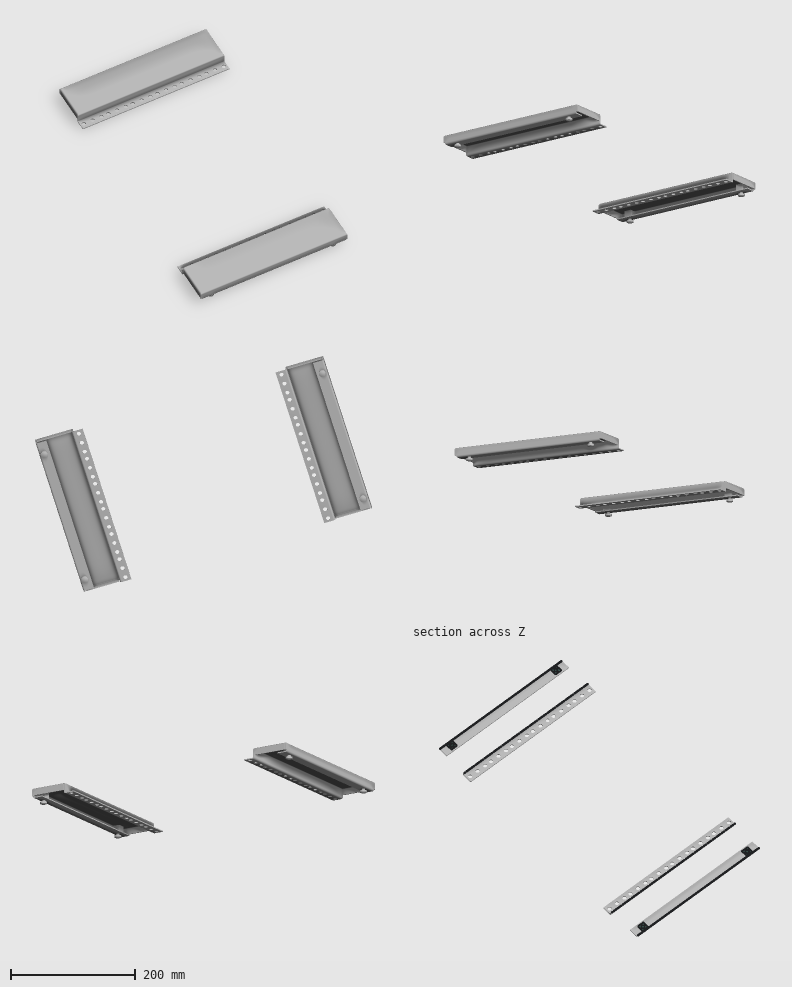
import cadquery as cq
import math

overall_width = 482.5
panel_length = 266.0
outer_x = -overall_width / 2

sheet = 1.75
bend_inner = 1.05
bend_outer = bend_inner + sheet

box_width = 62.5
panel_width = 79.5
wall_depth = 15.5
foot_depth = 18.0
return_width = 18.0
return_end_gap = 3.0
end_wall_depth = 12.0
corner_slit = 1.0

rack_units = 6
unit_pitch = 44.5
hole_pitch = 16.0
hole_diameter = 6.8
hole_inset = 71.5

fastener_inset = 8.0
fastener_from_end = 22.0
nut_length = 12.5
slot_top = 6.0
slot_height = 3.5
slot_depth = 1.0
slot_end_wall = 0.5
shank_diameter = 5.5
head_diameter = 11.0
head_top = 18.5
head_rim = 3.0
head_bottom = 22.5

wall_x = outer_x + box_width
fastener_x = outer_x + fastener_inset
fastener_ys = [side * (panel_length / 2 - fastener_from_end) for side in (-1, 1)]
nut_top = bend_outer
nut_bottom = wall_depth - sheet
nut_width = 2 * (fastener_inset - sheet)


def box(x_min, x_max, y_min, y_max, z_min, z_max):
    """A block between the given limits."""
    size = (x_max - x_min, y_max - y_min, z_max - z_min)
    return cq.Workplane("XY").box(*size, centered=False).translate((x_min, y_min, z_min))


def folded_section():
    """Return flange, outer wall, top, inner wall and foot, as one bent strip along Y."""
    outside = [
        (outer_x + return_width, -wall_depth),
        (outer_x, -wall_depth),
        (outer_x, 0),
        (wall_x, 0),
        (wall_x, -foot_depth + sheet),
        (outer_x + panel_width, -foot_depth + sheet),
    ]
    inside = [
        (outer_x + panel_width, -foot_depth),
        (wall_x - sheet, -foot_depth),
        (wall_x - sheet, -sheet),
        (outer_x + sheet, -sheet),
        (outer_x + sheet, -wall_depth + sheet),
        (outer_x + return_width, -wall_depth + sheet),
    ]
    strip = cq.Workplane("XZ").polyline(outside + inside).close().extrude(panel_length / 2, both=True)
    convex_bends = outside[1:4] + inside[1:2]
    concave_bends = outside[4:5] + inside[2:5]
    for radius, bends in ((bend_outer, convex_bends), (bend_inner, concave_bends)):
        for x, z in bends:
            strip = strip.edges(cq.NearestToPointSelector((x, 0, z))).fillet(radius)
    return strip


def rounded_along_x(x_min, x_max, half_length, top, bottom, radius):
    """A block whose two top edges along X are rounded."""
    block = box(x_min, x_max, -half_length, half_length, bottom, top)
    return block.edges("|X and >Z").fillet(radius)


def end_walls():
    """The top sheet folded down at both ends, clear of the long walls by a narrow slit."""
    x_min = outer_x + sheet + corner_slit
    x_max = wall_x - sheet - corner_slit
    half = panel_length / 2
    outer_block = rounded_along_x(x_min, x_max, half, 0, -end_wall_depth, bend_outer)
    inner_block = rounded_along_x(x_min, x_max, half - sheet, -sheet, -end_wall_depth, bend_inner)
    return outer_block.cut(inner_block)


def fastener_holes():
    """Shank-sized holes through the return flange."""
    return (
        cq.Workplane("XY", origin=(0, 0, -wall_depth))
        .pushPoints([(fastener_x, y) for y in fastener_ys])
        .circle(shank_diameter / 2)
        .extrude(sheet)
    )


def foot_holes():
    """Rack mounting holes through the foot."""
    points = []
    for unit in range(rack_units):
        unit_centre = (unit - (rack_units - 1) / 2) * unit_pitch
        for step in (-1, 0, 1):
            points.append((outer_x + hole_inset, unit_centre + step * hole_pitch))
    plane = cq.Workplane("XY", origin=(0, 0, -foot_depth))
    return plane.pushPoints(points).circle(hole_diameter / 2).extrude(sheet)


def make_panel():
    """The left panel."""
    half = panel_length / 2
    strip = folded_section()
    strip = strip.intersect(
        rounded_along_x(outer_x, outer_x + panel_width, half, 0, -foot_depth, bend_outer)
    )
    bend_start = -wall_depth + bend_outer
    for y_min in (-half, half - return_end_gap):
        strip = strip.cut(
            box(outer_x, outer_x + return_width, y_min, y_min + return_end_gap, -wall_depth, bend_start)
        )
    return strip.union(end_walls()).cut(fastener_holes()).cut(foot_holes())


def make_nut(y):
    """A block on the return flange, against the outer wall, slotted on its wall side."""
    x_min = outer_x + sheet
    y_min = y - nut_length / 2
    y_max = y + nut_length / 2
    block = box(x_min, x_min + nut_width, y_min, y_max, -nut_bottom, -nut_top)
    block = block.edges("|Y and <X and <Z").chamfer(bend_inner)
    slot = box(
        x_min,
        x_min + slot_depth,
        y_min + slot_end_wall,
        y_max - slot_end_wall,
        -slot_top - slot_height,
        -slot_top,
    )
    bore = cq.Workplane("XY", origin=(fastener_x, y, -nut_bottom))
    bore = bore.circle(shank_diameter / 2).extrude(nut_bottom - nut_top)
    return block.cut(slot).cut(bore)


def make_screw(y):
    """A screw rising into the nut block, with a domed head hanging below the flange."""
    shank_radius = shank_diameter / 2
    head_radius = head_diameter / 2
    rim_z = -head_top - head_rim
    dome_height = head_bottom - head_top - head_rim
    dome_radius = (head_radius**2 + dome_height**2) / (2 * dome_height)
    half_angle = math.asin(head_radius / dome_radius) / 2
    dome_middle = (
        dome_radius * math.sin(half_angle),
        -head_bottom + dome_radius * (1 - math.cos(half_angle)),
    )
    profile = (
        cq.Workplane("XZ")
        .moveTo(0, -nut_top)
        .lineTo(shank_radius, -nut_top)
        .lineTo(shank_radius, -head_top)
        .lineTo(head_radius, -head_top)
        .lineTo(head_radius, rim_z)
        .threePointArc(dome_middle, (0, -head_bottom))
        .close()
    )
    return profile.revolve(360, (0, 0, 0), (0, 1, 0)).translate((fastener_x, y, 0))


left_bodies = [make_panel()]
for fastener_y in fastener_ys:
    left_bodies.append(make_nut(fastener_y))
    left_bodies.append(make_screw(fastener_y))
right_bodies = [body.mirror("YZ") for body in left_bodies]

result = cq.Compound.makeCompound([body.val() for body in left_bodies + right_bodies])